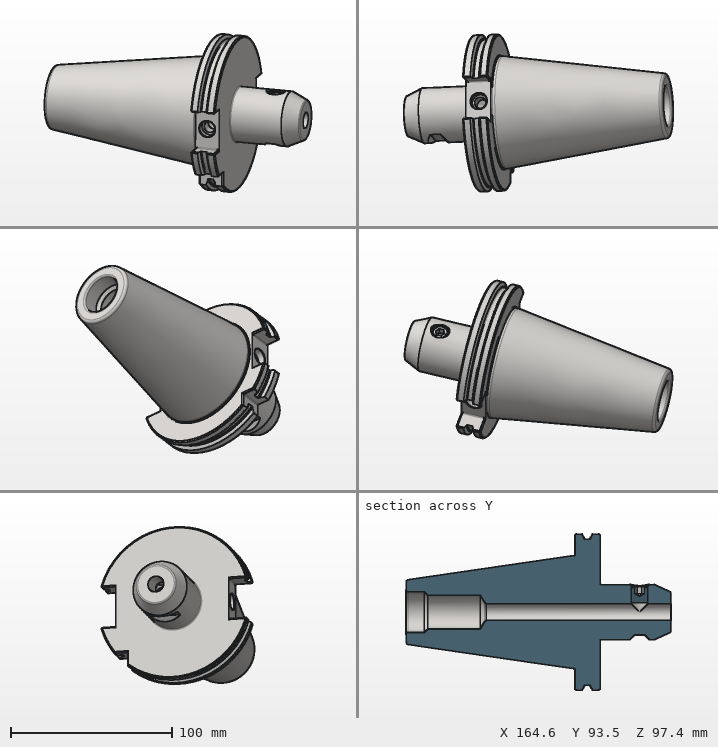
import cadquery as cq
import math


TOTAL_LENGTH = 164.6

TAPER_SLOPE = 7 / 48
TAPER_SMALL_RADIUS = 20.0
TAPER_LENGTH = 102.7
TAPER_LARGE_RADIUS = TAPER_SMALL_RADIUS + TAPER_SLOPE * TAPER_LENGTH
TAPER_END_FILLET = 2.0
TAPER_ROOT_FILLET = 0.7

FLANGE_START = 104.9
FLANGE_WIDTH = 15.8
FLANGE_END = FLANGE_START + FLANGE_WIDTH
FLANGE_RADIUS = 48.7
FLANGE_CHAMFER = 0.8
FLANGE_CLEARANCE_RADIUS = FLANGE_RADIUS + 1.6

GROOVE_CENTER = 112.6
GROOVE_RADIUS = 45.6
GROOVE_FLOOR_WIDTH = 4.0
GROOVE_FLOOR_FILLET = 0.5
GROOVE_SIDE_HEIGHT = 0.8
GROOVE_MOUTH_WIDTH = 6.5

SLOT_HALF_WIDTH = 12.8
SLOT_FLOOR_PLUS_Y = 35.4
SLOT_FLOOR_MINUS_Y = 37.4
NOTCH_OFFSET = 30.0
CORNER_FILLET = 0.5

SLOT_HOLE_DIAMETER = 10.0
SLOT_HOLE_CHAMFER = 0.3
SLOT_HOLE_DEPTH = 5.0
SLOT_PILOT_DIAMETER = 7.0
SLOT_PILOT_DEPTH = 13.2
DRILL_POINT_ANGLE = 118

SHANK_RADIUS = 17.3
SHANK_ROOT_FILLET = 0.5
NOSE_START = 154.2
NOSE_RADIUS = 12.5
NOSE_FILLET = 1.2

COUNTERBORE_DIAMETER = 25.0
COUNTERBORE_MOUTH_FILLET = 1.2
COUNTERBORE_DEPTH = 11.5
THREAD_BORE_DIAMETER = 20.7
THREAD_BORE_DEPTH = 46.1
DRILL_END_DIAMETER = 12.5
BORE_DIAMETER = 10.0

SCREW_X = 145.0
SCREW_DIAMETER = 10.0
SCREW_CHAMFER = 0.7
SCREW_TOP = 15.6
SCREW_BOTTOM = 5.8
SCREW_HOLE_MOUTH_DIAMETER = 12.0
HEX_WIDTH = 5.0
HEX_DEPTH = 4.1
BALANCE_NOTCH_FLOOR = 14.3
BALANCE_NOTCH_WIDTH = 6.5



def revolve_about_x(points):
    """Solid of revolution about X from (x, radius) points."""
    return cq.Workplane("XZ").polyline(points).close().revolve(360, (0, 0, 0), (1, 0, 0))


def drill_point_length(radius):
    """Length over which a drill point changes by the given radius."""
    return radius / math.tan(math.radians(DRILL_POINT_ANGLE / 2))


def fillet_ring(body, x, radius, fillet):
    """Round the circular edge about X that has the given position and radius."""
    ring = [
        edge for edge in body.edges("%CIRCLE").vals()
        if abs(edge.Center().x - x) < 0.02 and abs(edge.radius() - radius) < 0.02
    ]
    return body.newObject(ring).fillet(fillet)


def make_taper():
    taper = revolve_about_x([
        (0, 0),
        (0, TAPER_SMALL_RADIUS),
        (TAPER_LENGTH, TAPER_LARGE_RADIUS),
        (FLANGE_START, TAPER_LARGE_RADIUS),
        (FLANGE_START, 0),
    ])
    return taper.faces("<X").edges().fillet(TAPER_END_FILLET)


def make_groove_ring():
    half_floor = GROOVE_FLOOR_WIDTH / 2
    half_mouth = GROOVE_MOUTH_WIDTH / 2
    side_radius = GROOVE_RADIUS + GROOVE_SIDE_HEIGHT
    ring = revolve_about_x([
        (GROOVE_CENTER - half_floor, GROOVE_RADIUS),
        (GROOVE_CENTER - half_floor, side_radius),
        (GROOVE_CENTER - half_mouth, FLANGE_RADIUS),
        (GROOVE_CENTER - half_mouth, FLANGE_CLEARANCE_RADIUS),
        (GROOVE_CENTER + half_mouth, FLANGE_CLEARANCE_RADIUS),
        (GROOVE_CENTER + half_mouth, FLANGE_RADIUS),
        (GROOVE_CENTER + half_floor, side_radius),
        (GROOVE_CENTER + half_floor, GROOVE_RADIUS),
    ])
    floor_rims = ring.edges("%CIRCLE").edges(cq.selectors.RadiusNthSelector(0))
    return floor_rims.fillet(GROOVE_FLOOR_FILLET)


def flange_block(y_min, y_max, z_min, z_max):
    """Box through the full flange width between the given Y and Z limits."""
    return (
        cq.Workplane("XY")
        .box(FLANGE_WIDTH, y_max - y_min, z_max - z_min, centered=False)
        .translate((FLANGE_START, y_min, z_min))
    )


def is_slot_floor_edge(edge):
    return edge.geomType() == "LINE" and abs(edge.Center().z) < SLOT_HALF_WIDTH / 2


def on_rim(edge):
    """True for an edge along X on the flange rim or on a chamfer next to it."""
    center = edge.Center()
    return math.hypot(center.y, center.z) > FLANGE_RADIUS - 2 * FLANGE_CHAMFER


def make_flange():
    reach = FLANGE_CLEARANCE_RADIUS
    flange = cq.Workplane("YZ", origin=(FLANGE_START, 0, 0)).circle(FLANGE_RADIUS).extrude(FLANGE_WIDTH)
    flange = flange.cut(flange_block(SLOT_FLOOR_PLUS_Y, reach, -SLOT_HALF_WIDTH, SLOT_HALF_WIDTH))
    flange = flange.cut(flange_block(-reach, -SLOT_FLOOR_MINUS_Y, -SLOT_HALF_WIDTH, SLOT_HALF_WIDTH))
    flange = flange.cut(flange_block(-reach, -NOTCH_OFFSET, -reach, -NOTCH_OFFSET))

    end_edges = flange.faces("<X or >X").edges().vals()
    broken = [edge for edge in end_edges if not is_slot_floor_edge(edge)]
    broken += [
        edge for edge in flange.edges("|X").vals()
        if on_rim(edge) and edge.Center().z > -NOTCH_OFFSET / 2
    ]
    flange = flange.newObject(broken).chamfer(FLANGE_CHAMFER)

    inner_corners = [edge for edge in flange.edges("|X").vals() if not on_rim(edge)]
    return flange.newObject(inner_corners).fillet(CORNER_FILLET).cut(make_groove_ring())


def make_shank():
    shank = revolve_about_x([
        (FLANGE_END, 0),
        (FLANGE_END, SHANK_RADIUS),
        (NOSE_START, SHANK_RADIUS),
        (TOTAL_LENGTH, NOSE_RADIUS),
        (TOTAL_LENGTH, 0),
    ])
    return shank.faces(">X").edges().fillet(NOSE_FILLET)


def make_axial_bore():
    counterbore_radius = COUNTERBORE_DIAMETER / 2
    thread_radius = THREAD_BORE_DIAMETER / 2
    drill_end_radius = DRILL_END_DIAMETER / 2
    drill_end = THREAD_BORE_DEPTH + drill_point_length(thread_radius - drill_end_radius)
    return revolve_about_x([
        (0, 0),
        (0, counterbore_radius),
        (COUNTERBORE_DEPTH, counterbore_radius),
        (COUNTERBORE_DEPTH + counterbore_radius - thread_radius, thread_radius),
        (THREAD_BORE_DEPTH, thread_radius),
        (drill_end, drill_end_radius),
        (drill_end + drill_end_radius - BORE_DIAMETER / 2, BORE_DIAMETER / 2),
        (TOTAL_LENGTH, BORE_DIAMETER / 2),
        (TOTAL_LENGTH, 0),
    ])


def make_slot_hole(floor, side):
    """Stepped blind hole along Y, drilled inward from the slot floor on one side (+1 or -1)."""
    pilot_radius = SLOT_PILOT_DIAMETER / 2
    profile = [
        (0, floor),
        (SLOT_HOLE_DIAMETER / 2 + SLOT_HOLE_CHAMFER, floor),
        (SLOT_HOLE_DIAMETER / 2, floor - SLOT_HOLE_CHAMFER),
        (SLOT_HOLE_DIAMETER / 2, floor - SLOT_HOLE_DEPTH),
        (pilot_radius, floor - SLOT_HOLE_DEPTH),
        (pilot_radius, floor - SLOT_PILOT_DEPTH),
        (0, floor - SLOT_PILOT_DEPTH - drill_point_length(pilot_radius)),
    ]
    return (
        cq.Workplane("XY", origin=(GROOVE_CENTER, 0, 0))
        .polyline([(x, side * y) for x, y in profile])
        .close()
        .revolve(360, (0, 0, 0), (0, 1, 0))
    )


def make_screw_hole():
    radius = SCREW_DIAMETER / 2
    mouth_radius = SCREW_HOLE_MOUTH_DIAMETER / 2
    hole = cq.Workplane("XY", origin=(SCREW_X, 0, 0)).circle(radius).extrude(SHANK_RADIUS)
    countersink = (
        cq.Workplane("XZ", origin=(SCREW_X, 0, 0))
        .polyline([
            (0, SHANK_RADIUS),
            (mouth_radius, SHANK_RADIUS),
            (0, SHANK_RADIUS - mouth_radius),
        ])
        .close()
        .revolve(360, (0, 0, 0), (0, 1, 0))
    )
    return hole.union(countersink)


def make_balance_notch():
    half_floor = BALANCE_NOTCH_WIDTH / 2
    depth = SHANK_RADIUS - BALANCE_NOTCH_FLOOR
    return (
        cq.Workplane("XZ", origin=(SCREW_X, 0, 0))
        .polyline([
            (-half_floor, -BALANCE_NOTCH_FLOOR),
            (half_floor, -BALANCE_NOTCH_FLOOR),
            (half_floor + depth, -SHANK_RADIUS),
            (-half_floor - depth, -SHANK_RADIUS),
        ])
        .close()
        .extrude(SHANK_RADIUS, both=True)
    )


def make_holder():
    holder = make_taper().union(make_flange()).union(make_shank())
    holder = holder.cut(make_axial_bore())
    holder = fillet_ring(holder, 0, COUNTERBORE_DIAMETER / 2, COUNTERBORE_MOUTH_FILLET)
    holder = fillet_ring(holder, FLANGE_START, TAPER_LARGE_RADIUS, TAPER_ROOT_FILLET)
    holder = fillet_ring(holder, FLANGE_END, SHANK_RADIUS, SHANK_ROOT_FILLET)
    holder = holder.cut(make_slot_hole(SLOT_FLOOR_PLUS_Y, 1))
    holder = holder.cut(make_slot_hole(SLOT_FLOOR_MINUS_Y, -1))
    holder = holder.cut(make_screw_hole())
    return holder.cut(make_balance_notch())


def make_screw():
    """Set screw with a hexagon socket, its tip just short of the bore."""
    screw = (
        cq.Workplane("XY", origin=(SCREW_X, 0, SCREW_BOTTOM))
        .circle(SCREW_DIAMETER / 2)
        .extrude(SCREW_TOP - SCREW_BOTTOM)
        .faces(">Z")
        .edges()
        .chamfer(SCREW_CHAMFER)
    )
    corner_diameter = HEX_WIDTH / math.cos(math.pi / 6)
    socket = (
        cq.Workplane("XY", origin=(SCREW_X, 0, SCREW_TOP))
        .polygon(6, corner_diameter)
        .extrude(-HEX_DEPTH)
    )
    socket_drill = cq.Workplane("XY").add(cq.Solid.makeCone(
        HEX_WIDTH / 2, 0, drill_point_length(HEX_WIDTH / 2),
        pnt=cq.Vector(SCREW_X, 0, SCREW_TOP - HEX_DEPTH), dir=cq.Vector(0, 0, -1),
    ))
    return screw.cut(socket).cut(socket_drill)


holder = make_holder()
screw = make_screw()
result = cq.Compound.makeCompound([holder.val(), screw.val()])